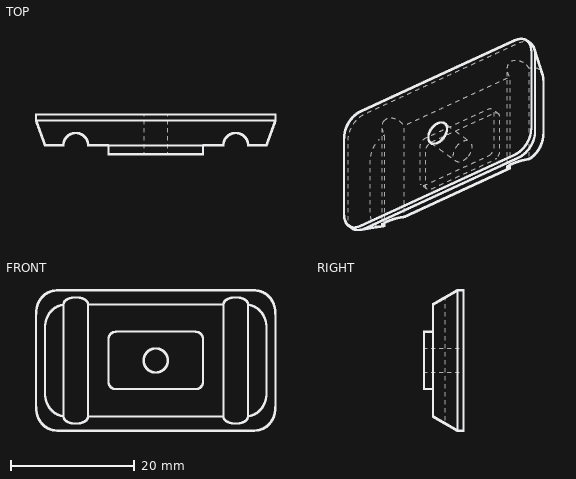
import cadquery as cq
import math

plate_length = 38.9
plate_height = 22.85
rim_thickness = 1.0
body_thickness = 4.0
end_taper = math.radians(20)
side_taper = math.radians(30)
corner_radius = 4.0

pad_length = 15.35
pad_height = 9.35
pad_thickness = 1.48
pad_corner_radius = 1.2
hole_diameter = 3.9

groove_diameter = 4.0
groove_spacing = 26.0

front_face_offset = rim_thickness + body_thickness
total_thickness = front_face_offset + pad_thickness


def tapered_body():
    front_length = plate_length - 2 * body_thickness * math.tan(end_taper)
    front_height = plate_height - 2 * body_thickness * math.tan(side_taper)
    frustum = (
        cq.Workplane("XZ", origin=(0, -rim_thickness, 0))
        .rect(plate_length, plate_height)
        .workplane(offset=body_thickness)
        .rect(front_length, front_height)
        .loft(ruled=True, combine=True)
    )
    slanted_edges = frustum.edges("not(|X or |Z)")
    return slanted_edges.fillet(corner_radius)


def rim(body):
    back_outline = body.faces(">Y").wires().val()
    return cq.Workplane(cq.Solid.extrudeLinear(back_outline, [], cq.Vector(0, rim_thickness, 0)))


def pad():
    return (
        cq.Workplane("XZ", origin=(0, -front_face_offset, 0))
        .rect(pad_length, pad_height)
        .extrude(pad_thickness)
        .edges("|Y")
        .fillet(pad_corner_radius)
    )


def grooves():
    half_spacing = groove_spacing / 2
    return (
        cq.Workplane("XY", origin=(0, -front_face_offset, -plate_height / 2))
        .pushPoints([(-half_spacing, 0), (half_spacing, 0)])
        .circle(groove_diameter / 2)
        .extrude(plate_height)
    )


def centre_hole():
    return cq.Workplane("XZ").circle(hole_diameter / 2).extrude(total_thickness)


body = tapered_body()
result = body.union(rim(body)).cut(grooves()).union(pad()).cut(centre_hole())